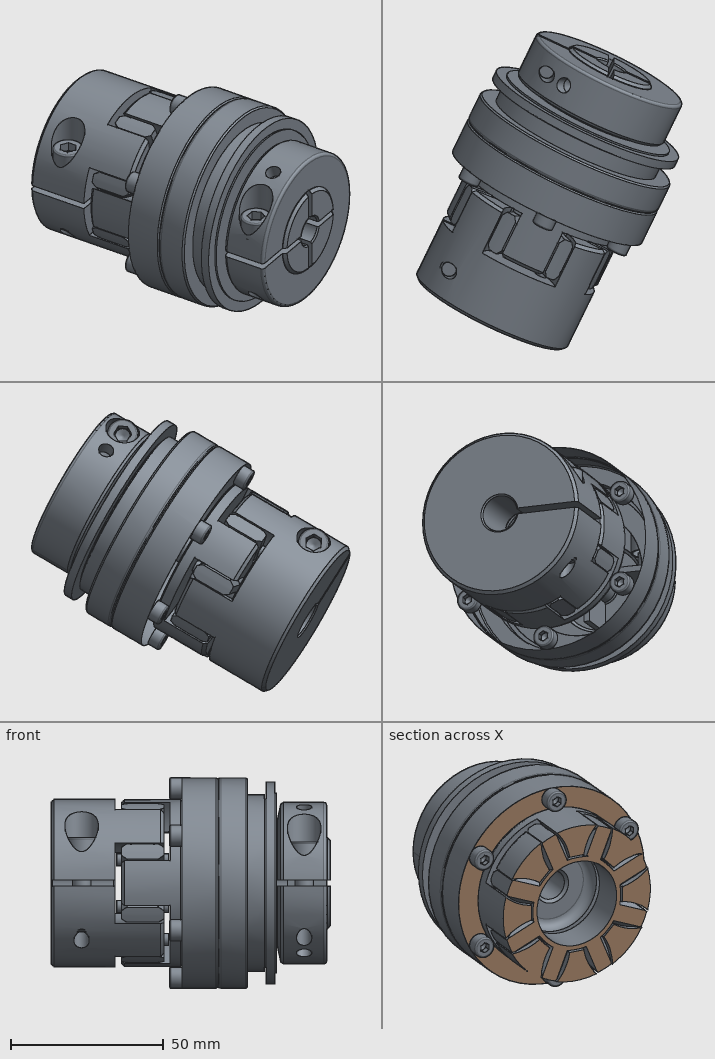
import cadquery as cq
import math


BORE_D = 10.0
BORE_CHAMFER = 0.5
SLIT_W = 2.0
JAWS = 4
JAW_PITCH = 360.0 / JAWS
DRILL_SLOPE = 30.0
OVERSIZE = 5.0

HUB_R = 27.5
HUB_LENGTH = 21.0
HUB_CHAMFER = 1.0
HUB_BORE_D = 12.0

JAW_LENGTH = 16.0
JAW_CHAMFER = 1.1
JAW_INNER_U = 16.8
JAW_INNER_HALF = 2.7
JAW_HOLLOW = 0.8
HUB_JAW_HALF = 7.75
BODY_JAW_HALF = 7.4
SPIDER_GAP = 2.0
SPIDER_LENGTH = 14.0
SPIDER_R = 27.2
SPIDER_RING_R = 16.4
SPIDER_BORE_R = 14.7
ARM_BULGE_R = 21.5
ARM_BULGE_HALF = 4.3
ARM_ROOT_R = 14.0
ARM_ROOT_HALF = 4.0
ARM_TIP_HALF = 2.6
ARM_CHAMFER_X = 1.7
ARM_CHAMFER_SIDE = 1.2
PAD_D = 4.0
PAD_R = 20.0
PAD_HEIGHT = 1.5

SPIDER_X = HUB_LENGTH + SPIDER_GAP
BODY_X = SPIDER_X + SPIDER_LENGTH + SPIDER_GAP
JAW_FLANGE_R = 27.4
RECESS_FILLET = 3.2
RELIEF_X = 42.45
RELIEF_R = 27.0
RING_R = 34.5
RING_1_X = 42.85
RING_1_END = 54.1
GROOVE_X = 54.6
RING_2_X = 55.0
RING_2_END = 64.4
RING_CHAMFER_X = 0.6
RING_CHAMFER_R = 0.45
GROOVE_R = 34.1
RING_2_EDGE_R = 34.35
COLLAR_R = 29.0
COLLAR_END = 69.85
COLLAR_NECK_R = 27.6
DISC_R = 33.15
DISC_X = 70.45
DISC_END = 73.3
DISC_STEP_R = 29.5
DISC_STEP_END = 73.9
CLAMP_NECK_R = 20.85
CLAMP_NECK_END = 74.15

CLAMP_R = 26.5
CLAMP_CONE_END = 75.2
CLAMP_CONE_R = 25.9
CLAMP_LAND_X = 76.1
CLAMP_END = 90.3
CLAMP_FILLET = 1.0
COLLET_R = 15.0
COLLET_END = 91.5
COLLET_CHAMFER = 1.0
COLLET_SLOT_X = 77.5

SCREW_D = 6.0
SCREW_CLEARANCE_D = 6.5
SCREW_TAP_D = 5.0
SCREW_HEAD_D = 10.0
SCREW_HEAD_H = 6.0
SCREW_POCKET_D = 11.0
SCREW_HEX = 5.0
SCREW_HEX_DEPTH = 3.0
SCREW_ROUND = 0.5
SCREW_TIP_CHAMFER = 0.6
HUB_SCREW_X = 10.0
HUB_SCREW_Y = -20.0
HUB_SCREW_SEAT = 9.0
HUB_SCREW_LENGTH = 25.0
CLAMP_SCREW_X = 82.9
CLAMP_SCREW_Y = -19.4
CLAMP_SCREW_SEAT = 7.5
CLAMP_SCREW_LENGTH = 20.0

PIN_HOLE_D = 5.0
PIN_HOLE_DEPTH = 5.0
PIN_HOLE_ANGLES = (70.0, -60.0)

BOLTS = 6
BOLT_CIRCLE_R = 31.0
BOLT_D = 4.0
BOLT_LENGTH = 8.0
BOLT_HEAD_D = 7.0
BOLT_HEAD_H = 4.0
BOLT_HEX = 3.0
BOLT_HEX_DEPTH = 2.0
BOLT_ROUND = 0.5


def turned(points):
    """Solid of revolution about X from (x, radius) points; the ends close on the axis."""
    outline = [(points[0][0], 0)] + points + [(points[-1][0], 0)]
    return cq.Workplane("XY").polyline(outline).close().revolve(360, (0, 0, 0), (1, 0, 0))


def along_x(x):
    """Workplane across the shaft at station x; local axes are Y and Z."""
    return cq.Workplane("YZ", origin=(x, 0, 0))


def about_x(shape, angle):
    return shape.rotate((0, 0, 0), (1, 0, 0), angle)


def drill_point(radius):
    """Height of the conical floor that a drill leaves."""
    return radius * math.tan(math.radians(DRILL_SLOPE))


def socket_screw(head_d, head_h, shank_d, shank_length, hexagon, hex_depth, head_round, tip, hex_turn):
    """Socket head cap screw pointing down -Z, with the underside of the head at z = 0."""
    head = cq.Workplane("XY").circle(head_d / 2).extrude(head_h)
    head = head.faces(">Z").edges().fillet(head_round)
    shank = cq.Workplane("XY").circle(shank_d / 2).extrude(-shank_length)
    shank = shank.faces("<Z").edges().chamfer(tip)
    corner_d = hexagon / math.cos(math.pi / 6)
    floor_z = head_h - hex_depth
    socket = cq.Workplane("XY", origin=(0, 0, floor_z)).polygon(6, corner_d).extrude(hex_depth)
    drill_depth = drill_point(hexagon / 2)
    drill = cq.Solid.makeCone(
        0, hexagon / 2, drill_depth, pnt=cq.Vector(0, 0, floor_z - drill_depth)
    )
    socket = socket.union(cq.Workplane(drill)).rotate((0, 0, 0), (0, 0, 1), hex_turn)
    return head.union(shank).cut(socket)


def jaw(x, outer_r, half_width):
    """One jaw centred on +Y, hollow on its flanks and running past its radius to be trimmed."""
    outer_u = math.sqrt(outer_r**2 - half_width**2)
    run = outer_u - JAW_INNER_U
    rise = half_width - JAW_INNER_HALF
    flank = math.hypot(run, rise)
    mid_u = (outer_u + JAW_INNER_U) / 2 + JAW_HOLLOW * rise / flank
    mid_v = (half_width + JAW_INNER_HALF) / 2 - JAW_HOLLOW * run / flank
    return (
        along_x(x)
        .moveTo(JAW_INNER_U, -JAW_INNER_HALF)
        .threePointArc((mid_u, -mid_v), (outer_u, -half_width))
        .lineTo(outer_r + JAW_CHAMFER, -half_width)
        .lineTo(outer_r + JAW_CHAMFER, half_width)
        .lineTo(outer_u, half_width)
        .threePointArc((mid_u, mid_v), (JAW_INNER_U, JAW_INNER_HALF))
        .close()
        .extrude(JAW_LENGTH)
    )


def jawed_disc(disc_x, disc_length, jaw_x, first_angle, half_width, profile):
    """Disc with a ring of jaws, both trimmed together to one turned profile."""
    outer_r = max(radius for _, radius in profile)
    blank = along_x(disc_x).circle(outer_r + OVERSIZE).extrude(disc_length)
    for index in range(JAWS):
        single_jaw = jaw(jaw_x, outer_r, half_width)
        blank = blank.union(about_x(single_jaw, first_angle + index * JAW_PITCH))
    return turned(profile).intersect(blank)


def clamp_screw_cutter(x, y, seat_z, outer_r):
    """Head pocket, clearance hole down to the slit and through tapped hole of a clamp screw."""
    reach = outer_r + OVERSIZE
    pocket = cq.Workplane("XY", origin=(x, y, seat_z)).circle(SCREW_POCKET_D / 2).extrude(reach)
    clearance = cq.Workplane("XY", origin=(x, y, 0)).circle(SCREW_CLEARANCE_D / 2).extrude(seat_z)
    tapped = cq.Workplane("XY", origin=(x, y, 0)).circle(SCREW_TAP_D / 2).extrude(-reach)
    return pocket.union(clearance).union(tapped)


def clamp_screw(x, y, seat_z, length, hex_turn):
    screw = socket_screw(
        SCREW_HEAD_D, SCREW_HEAD_H, SCREW_D, length,
        SCREW_HEX, SCREW_HEX_DEPTH, SCREW_ROUND, SCREW_TIP_CHAMFER, hex_turn,
    )
    return screw.translate((x, y, seat_z))


def slit(x_start, x_end, outer_r):
    """Clamping slit from the axis out through the -Y side."""
    return (
        cq.Workplane("XY")
        .box(x_end - x_start, outer_r + OVERSIZE, SLIT_W, centered=(False, False, True))
        .translate((x_start, -outer_r - OVERSIZE, 0))
    )


def jaw_hub():
    tip_x = HUB_LENGTH + JAW_LENGTH
    profile = [
        (0, HUB_R - HUB_CHAMFER),
        (HUB_CHAMFER, HUB_R),
        (tip_x - JAW_CHAMFER, HUB_R),
        (tip_x, HUB_R - JAW_CHAMFER),
    ]
    body = jawed_disc(0, HUB_LENGTH, HUB_LENGTH, JAW_PITCH / 2, HUB_JAW_HALF, profile)
    bore_r = HUB_BORE_D / 2
    bore = turned([
        (0, bore_r + BORE_CHAMFER),
        (BORE_CHAMFER, bore_r),
        (HUB_LENGTH - BORE_CHAMFER, bore_r),
        (HUB_LENGTH, bore_r + BORE_CHAMFER),
    ])
    body = body.cut(bore).cut(slit(0, HUB_LENGTH, HUB_R))
    body = body.cut(clamp_screw_cutter(HUB_SCREW_X, HUB_SCREW_Y, HUB_SCREW_SEAT, HUB_R))
    return body.union(
        clamp_screw(HUB_SCREW_X, HUB_SCREW_Y, HUB_SCREW_SEAT, HUB_SCREW_LENGTH, 0)
    )


def spider_arm():
    """One convex arm on +Y, running past the spider radius so that it can be trimmed round."""
    tip_r = SPIDER_R + ARM_TIP_HALF
    tip_u = math.sqrt(SPIDER_R**2 - ARM_TIP_HALF**2)
    arm = (
        along_x(SPIDER_X)
        .moveTo(ARM_ROOT_R, -ARM_ROOT_HALF)
        .threePointArc((ARM_BULGE_R, -ARM_BULGE_HALF), (tip_u, -ARM_TIP_HALF))
        .lineTo(tip_r, -ARM_TIP_HALF)
        .lineTo(tip_r, ARM_TIP_HALF)
        .lineTo(tip_u, ARM_TIP_HALF)
        .threePointArc((ARM_BULGE_R, ARM_BULGE_HALF), (ARM_ROOT_R, ARM_ROOT_HALF))
        .close()
        .extrude(SPIDER_LENGTH)
    )
    x_end = SPIDER_X + SPIDER_LENGTH
    flat_half = ARM_TIP_HALF - ARM_CHAMFER_SIDE
    side_half = ARM_BULGE_HALF + 1
    side_chamfer = ARM_CHAMFER_X * (side_half - flat_half) / ARM_CHAMFER_SIDE
    trim = (
        cq.Workplane("XZ")
        .polyline([
            (SPIDER_X, -flat_half),
            (SPIDER_X + side_chamfer, -side_half),
            (x_end - side_chamfer, -side_half),
            (x_end, -flat_half),
            (x_end, flat_half),
            (x_end - side_chamfer, side_half),
            (SPIDER_X + side_chamfer, side_half),
            (SPIDER_X, flat_half),
        ])
        .close()
        .extrude(-tip_r)
    )
    return arm.intersect(trim)


def spider():
    body = along_x(SPIDER_X).circle(SPIDER_RING_R).extrude(SPIDER_LENGTH)
    envelope = along_x(SPIDER_X).circle(SPIDER_R).extrude(SPIDER_LENGTH)
    for index in range(2 * JAWS):
        angle = (index + 0.5) * JAW_PITCH / 2
        body = body.union(about_x(spider_arm(), angle))
    body = body.intersect(envelope)
    first_pad = along_x(SPIDER_X - PAD_HEIGHT).center(PAD_R, 0).circle(PAD_D / 2)
    first_pad = first_pad.extrude(PAD_HEIGHT)
    last_pad = first_pad.translate((PAD_HEIGHT + SPIDER_LENGTH, 0, 0))
    quarter = JAW_PITCH / 4
    for index in range(JAWS):
        body = body.union(about_x(first_pad, quarter + index * JAW_PITCH))
        body = body.union(about_x(last_pad, -quarter + index * JAW_PITCH))
    bore = along_x(SPIDER_X).circle(SPIDER_BORE_R).extrude(SPIDER_LENGTH)
    return body.cut(bore)


def limiter_body():
    jaw_x = BODY_X - JAW_LENGTH
    profile = [
        (jaw_x, JAW_FLANGE_R - JAW_CHAMFER),
        (jaw_x + JAW_CHAMFER, JAW_FLANGE_R),
        (RELIEF_X, JAW_FLANGE_R),
    ]
    flange = jawed_disc(BODY_X, RELIEF_X - BODY_X, jaw_x, 0, BODY_JAW_HALF, profile)
    rings = turned([
        (RELIEF_X, RELIEF_R),
        (RING_1_X, RELIEF_R),
        (RING_1_X, RING_R),
        (RING_1_END, RING_R),
        (GROOVE_X, GROOVE_R),
        (RING_2_X, RING_2_EDGE_R),
        (RING_2_X + RING_CHAMFER_X, RING_R),
        (RING_2_END - RING_CHAMFER_X, RING_R),
        (RING_2_END, RING_R - RING_CHAMFER_R),
        (RING_2_END, COLLAR_R),
        (COLLAR_END, COLLAR_R),
        (COLLAR_END, COLLAR_NECK_R),
        (DISC_X, COLLAR_NECK_R),
        (DISC_X, DISC_R),
        (DISC_END, DISC_R),
        (DISC_END, DISC_STEP_R),
        (DISC_STEP_END, DISC_STEP_R),
    ])
    return flange.union(rings)


def bolt_circle():
    bolt = socket_screw(
        BOLT_HEAD_D, BOLT_HEAD_H, BOLT_D, BOLT_LENGTH,
        BOLT_HEX, BOLT_HEX_DEPTH, BOLT_ROUND, BOLT_ROUND, 0,
    )
    bolt = bolt.rotate((0, 0, 0), (0, 1, 0), -90).translate((RING_1_X, 0, BOLT_CIRCLE_R))
    bolts = cq.Workplane()
    for index in range(BOLTS):
        bolts = bolts.add(about_x(bolt, index * 360 / BOLTS))
    return bolts.combine()


def pin_hole(angle):
    """Blind radial hole in the clamping ring, ending in a drill point."""
    floor_r = CLAMP_R - PIN_HOLE_DEPTH
    radius = PIN_HOLE_D / 2
    hole = (
        cq.Workplane("XY", origin=(CLAMP_SCREW_X, 0, 0))
        .polyline([
            (0, -floor_r + drill_point(radius)),
            (0, -CLAMP_R - OVERSIZE),
            (radius, -CLAMP_R - OVERSIZE),
            (radius, -floor_r),
        ])
        .close()
        .revolve(360, (0, 0, 0), (0, 1, 0))
    )
    return about_x(hole, -angle)


def clamping_ring():
    ring = turned([
        (DISC_STEP_END, CLAMP_NECK_R),
        (CLAMP_NECK_END, CLAMP_NECK_R),
        (CLAMP_CONE_END, CLAMP_CONE_R),
        (CLAMP_LAND_X, CLAMP_R),
        (CLAMP_END, CLAMP_R),
    ])
    ring = ring.faces(">X").edges().fillet(CLAMP_FILLET)
    collet = turned([
        (CLAMP_END, COLLET_R),
        (COLLET_END - COLLET_CHAMFER, COLLET_R),
        (COLLET_END, COLLET_R - COLLET_CHAMFER),
    ])
    ring = ring.union(collet).cut(slit(DISC_STEP_END, COLLET_END, CLAMP_R))
    slot = cq.Workplane("XY").box(
        COLLET_END - COLLET_SLOT_X, 2 * COLLET_R, SLIT_W, centered=(False, True, True)
    ).translate((COLLET_SLOT_X, 0, 0))
    ring = ring.cut(slot).cut(about_x(slot, 90))
    ring = ring.cut(clamp_screw_cutter(CLAMP_SCREW_X, CLAMP_SCREW_Y, CLAMP_SCREW_SEAT, CLAMP_R))
    for angle in PIN_HOLE_ANGLES:
        ring = ring.cut(pin_hole(angle))
    return ring.union(
        clamp_screw(CLAMP_SCREW_X, CLAMP_SCREW_Y, CLAMP_SCREW_SEAT, CLAMP_SCREW_LENGTH, 30)
    )


def flange_recess():
    """Round recess in the jaw flange, as wide as the spider bore, rounded into its flat floor."""
    floor_r = SPIDER_BORE_R - RECESS_FILLET
    diagonal = RECESS_FILLET * math.sqrt(0.5)
    outline = (
        cq.Workplane("XY")
        .moveTo(BODY_X, 0)
        .lineTo(BODY_X, SPIDER_BORE_R)
        .threePointArc(
            (BODY_X + diagonal, floor_r + diagonal),
            (BODY_X + RECESS_FILLET, floor_r),
        )
        .lineTo(BODY_X + RECESS_FILLET, 0)
        .close()
    )
    return outline.revolve(360, (0, 0, 0), (1, 0, 0))


def shaft_bore():
    """Bore through the body and collet, countersunk from the recess floor to the hub bore size."""
    floor_x = BODY_X + RECESS_FILLET
    sink_r = HUB_BORE_D / 2
    sink_depth = sink_r - BORE_D / 2
    return turned([
        (floor_x, sink_r),
        (floor_x + sink_depth, BORE_D / 2),
        (COLLET_END - BORE_CHAMFER, BORE_D / 2),
        (COLLET_END, BORE_D / 2 + BORE_CHAMFER),
    ])


result = (
    limiter_body()
    .union(clamping_ring())
    .cut(flange_recess())
    .cut(shaft_bore())
    .union(bolt_circle())
    .union(spider())
    .union(jaw_hub())
)